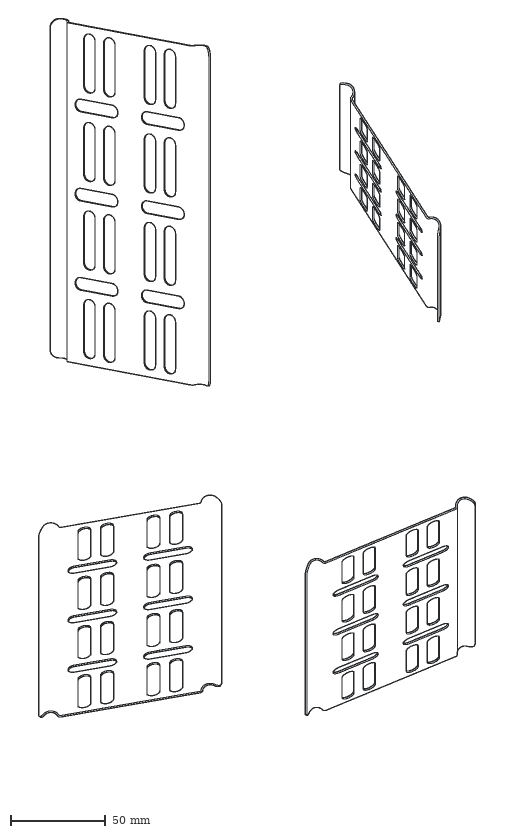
import cadquery as cq
import math

length = 190.0
overall_width = 99.4
depth = 5.0
sheet = 0.99

bead_outer_radius = depth
bead_inner_radius = bead_outer_radius - sheet
lip_angle = math.radians(43)
lip_corner_radius = 5.0

foot_inner_radius = 0.66
foot_outer_radius = foot_inner_radius + sheet

slot_width = 7.0
upright_rows = 4
upright_pitch = 49.5
upright_slot_length = 33.0
upright_slot_offsets = (12.5, 24.9)
cross_rows = upright_rows - 1
cross_pitch = 50.0
cross_slot_length = 26.5
cross_slot_offset = 20.5

half_width = overall_width / 2
lip_tip_inner = (half_width - sheet * math.sin(lip_angle), 0)
lip_tip_outer = (half_width, sheet * math.cos(lip_angle))
bead_axis = (lip_tip_inner[0] - bead_inner_radius / math.sin(lip_angle), 0)

axis_distance = bead_inner_radius + foot_outer_radius
foot_slope = math.asin(foot_outer_radius / axis_distance)
foot_axis = (bead_axis[0] - axis_distance * math.cos(foot_slope), foot_outer_radius)

crown = math.pi / 2
lip_start = math.pi / 2 - lip_angle
bead_foot = math.pi - foot_slope
foot_start = -math.pi / 2
foot_end = -foot_slope
foot_middle = (foot_start + foot_end) / 2


def polar(axis, radius, direction):
    """Point at the given radius and direction from an axis."""
    return (axis[0] + radius * math.cos(direction), axis[1] + radius * math.sin(direction))


def formed_half():
    """Right half of the bent section over the full length, with its lip corners rounded."""
    half = (
        cq.Workplane("XY")
        .lineTo(foot_axis[0], 0)
        .threePointArc(
            polar(foot_axis, foot_outer_radius, foot_middle),
            polar(foot_axis, foot_outer_radius, foot_end),
        )
        .threePointArc(
            polar(bead_axis, bead_inner_radius, crown),
            polar(bead_axis, bead_inner_radius, lip_start),
        )
        .lineTo(*lip_tip_inner)
        .lineTo(*lip_tip_outer)
        .lineTo(*polar(bead_axis, bead_outer_radius, lip_start))
        .threePointArc(
            polar(bead_axis, bead_outer_radius, crown),
            polar(bead_axis, bead_outer_radius, bead_foot),
        )
        .threePointArc(
            polar(foot_axis, foot_inner_radius, foot_middle),
            polar(foot_axis, foot_inner_radius, foot_start),
        )
        .lineTo(0, sheet)
        .close()
        .extrude(length / 2, both=True)
    )
    for end in (">Z", "<Z"):
        half = half.faces(end).edges(">X").fillet(lip_corner_radius)
    return half


def slots(offsets, rows, pitch, slot_length, angle):
    """Cutters on both sides of the centre line, with their rows centred on Z = 0."""
    heights = [(row - (rows - 1) / 2) * pitch for row in range(rows)]
    centers = [(side * offset, z) for side in (-1, 1) for offset in offsets for z in heights]
    return (
        cq.Workplane("XZ")
        .pushPoints(centers)
        .slot2D(slot_length, slot_width, angle)
        .extrude(depth, both=True)
    )


right_half = formed_half()
sheet_body = right_half.union(right_half.mirror("YZ"))
upright_slots = slots(upright_slot_offsets, upright_rows, upright_pitch, upright_slot_length, 90)
cross_slots = slots((cross_slot_offset,), cross_rows, cross_pitch, cross_slot_length, 0)
result = sheet_body.cut(upright_slots).cut(cross_slots)